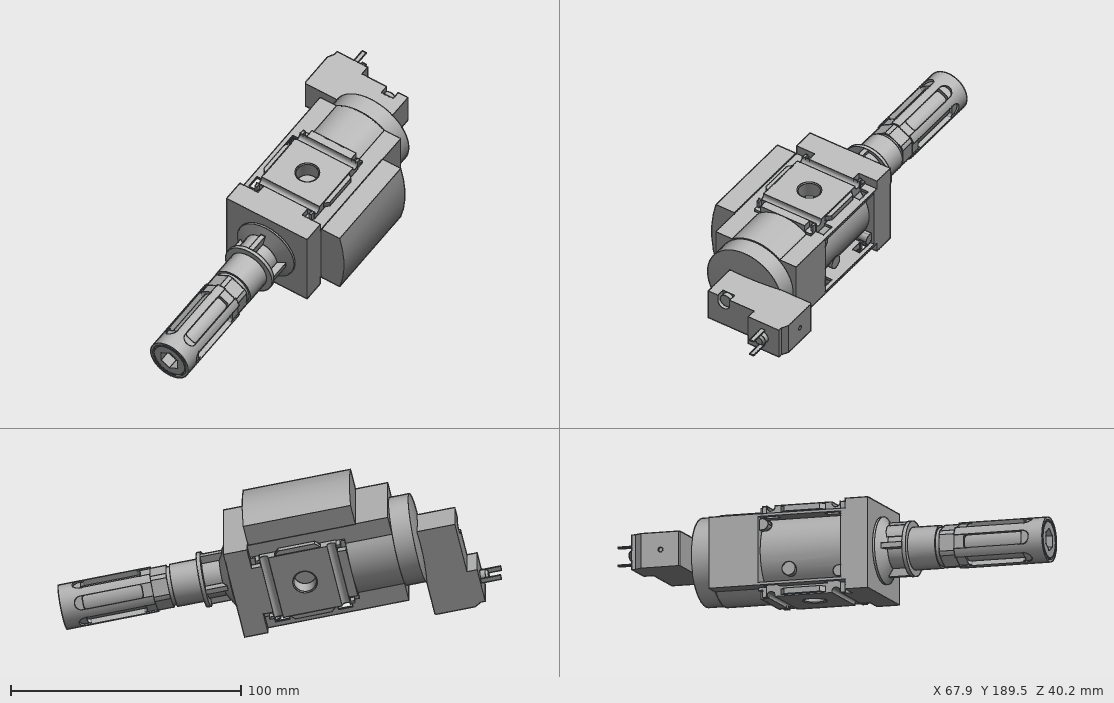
import cadquery as cq
import math


body_width = 42.0
body_height = 40.2
block_bottom = 76.2
block_top = 86.6
middle_top = 128.7
body_top = 149.4
flat_half_height = 15.7
head_radius = body_height / 2

cavity_bottom = 88.7
cavity_top = 126.6
cavity_half_height = 14.6
core_radius = 18.4
side_boss_diameter = 6.0
side_boss_end_x = 17.8
side_boss_y = 113.7
side_boss_z = -8.5
corner_boss_diameter = 5.0
corner_boss_inset = 1.5
corner_boss_end_x = 19.5
corner_boss_z = 11.4
window_outer_x = 19
window_length = 6.5
window_inset = 1.7

port_y = 107.9
plate_half_width = 15.2
plate_neck_half_width = 11.5
plate_length = 34.1
corner_floor = 16.9
corner_inset = 0.4
corner_lug_width = 1.1
corner_lug_length = 1.9
plate_groove_offset = 15.0
plate_groove_radius = 1.9
plate_groove_axis_depth = 0.4
port_diameter = 9.9
port_rim_diameter = 10.8
port_depth = 7.5
grip_reach = 2.0
grip_length = 20.5
grip_bottom = 17
grip_top = 19.5

cover_bottom = 87.2
cover_top = 135.0
cover_half_height = 16.3
cover_edge_x = 30.7
cover_crown_x = 33.0

cap_radius = 19.5
cap_top = 158.0
dome_height = 1.5

coil_left = -34.9
coil_right = 7.0
coil_step_x = -17
coil_bottom = 157.9
coil_step_y = 176.0
coil_top = 180.6
coil_height = 15.4
coil_edge_chamfer = 0.5
coil_bevel_width = 1.7
coil_bevel_bottom = 175.7
coil_bevel_top = 178.7
coil_hole_diameter = 2.0
coil_hole_depth = 1.0
coil_hole_y = 166.8
coil_screw_x = -1.1
coil_screw_z = 4.5
coil_screw_diameter = 5.9
coil_screw_length = 2.3
coil_notch_width = 6.0
coil_notch_depth = 4.0

contact_x = -24.8
pin_top = 189.5
pin_width = 2.0
pin_thickness = 0.5
pin_z = 4.0
stud_diameter = 5.5
stud_rim_y = 183.0
stud_tip_diameter = 3.8
stud_top = 184.0

skirt_radius = 14.8
skirt_rim_y = 75.3
cone_end_y = 71.5
neck_radius = 8.5
flange_radius = 12.1
flange_top = 63.7
flange_bottom = 62.0
socket_diameter = 18.8
socket_bottom = 49.5
rib_radius = 12.0
rib_width = 2.3
rib_count = 4
bulge_radius = 7.2
bulge_axis_z = 3.5
bulge_bottom_z = 4.4

silencer_radius = 9.9
hex_top = 47.8
hex_bottom = 40.8
hex_sides = 6
hex_flats = 17
hex_corner_diameter = 18.5
collar_radius = hex_flats / 2
slot_count = 6
slot_width = 6.0
slot_end_y = 6.3
slot_floor = 8.7
pocket_top = 36.4
pocket_bottom = 9.9
pocket_corner_radius = 1.3
silencer_core_radius = 7.4
socket_hex_diameter = 9.9
socket_hex_depth = 5.7
ring_outer_radius = 8.7
ring_inner_radius = 8.0
ring_depth = 1.0


def block(x_range, y_range, z_range):
    """Box between two limits along each axis."""
    size = [high - low for low, high in (x_range, y_range, z_range)]
    return cq.Workplane("XY").box(*size, centered=False).translate((x_range[0], y_range[0], z_range[0]))


def rod(radius, y_low, y_high):
    """Cylinder on the long axis."""
    return cq.Workplane("XZ", origin=(0, y_low, 0)).circle(radius).extrude(y_low - y_high)


def both_sides(shape):
    """The shape and its mirror image across the XY plane."""
    return shape.union(shape.mirror("XY"))


def around_axis(shape, count):
    """Equally spaced copies of a shape about the long axis, joined."""
    copies = shape
    for index in range(1, count):
        copies = copies.union(shape.rotate((0, 0, 0), (0, 1, 0), index * 360 / count))
    return copies


def make_port_plate():
    """Plate on +Z with cut-back corners, side grips and two grooves across it."""
    plate = block((-plate_half_width, plate_half_width),
                  (port_y - plate_length / 2, port_y + plate_length / 2),
                  (cavity_half_height, head_radius))
    corner_half_width = plate_half_width - corner_inset
    neck_y = (block_top, middle_top)
    plate = plate.union(block((-plate_neck_half_width, plate_neck_half_width), neck_y,
                              (cavity_half_height, head_radius)))
    plate = plate.union(block((-corner_half_width, corner_half_width), neck_y,
                              (cavity_half_height, corner_floor)))

    lug_half_span = plate_length / 2 + corner_lug_length
    for lug_left in (-corner_half_width, corner_half_width - corner_lug_width):
        plate = plate.union(block((lug_left, lug_left + corner_lug_width),
                                  (port_y - lug_half_span, port_y + lug_half_span),
                                  (cavity_half_height, head_radius)))

    grip_half = grip_length / 2
    grip_x = plate_half_width + grip_reach
    grips = (
        cq.Workplane("XY", origin=(0, port_y, grip_bottom))
        .moveTo(-plate_half_width, -grip_half)
        .lineTo(-grip_x, grip_reach - grip_half)
        .lineTo(-grip_x, grip_half - grip_reach)
        .lineTo(-plate_half_width, grip_half)
        .lineTo(plate_half_width, grip_half)
        .lineTo(grip_x, grip_half - grip_reach)
        .lineTo(grip_x, grip_reach - grip_half)
        .lineTo(plate_half_width, -grip_half)
        .close()
        .extrude(grip_top - grip_bottom)
    )
    plate = plate.union(grips)

    for side in (-1, 1):
        groove = (
            cq.Workplane("YZ", origin=(-plate_half_width, 0, 0))
            .center(port_y + side * plate_groove_offset, head_radius - plate_groove_axis_depth)
            .circle(plate_groove_radius)
            .extrude(2 * plate_half_width)
        )
        plate = plate.cut(groove)
    return plate


def make_port():
    """Blind port with a chamfered mouth, on +Z."""
    rim_depth = (port_rim_diameter - port_diameter) / 2
    bore = (
        cq.Workplane("XY", origin=(0, port_y, head_radius - port_depth))
        .circle(port_diameter / 2)
        .extrude(port_depth)
    )
    return bore.faces(">Z").workplane().circle(port_rim_diameter / 2).extrude(-rim_depth, taper=45)


def make_cavity():
    """Open space of the -X side: a pocket around the core and its bosses, with windows through its walls."""
    half_width = body_width / 2
    cavity = block((-half_width, 0), (cavity_bottom, cavity_top), (-cavity_half_height, cavity_half_height))
    cavity = cavity.cut(rod(core_radius, cavity_bottom, cavity_top))

    side_boss = (
        cq.Workplane("YZ", origin=(-side_boss_end_x, side_boss_y, side_boss_z))
        .circle(side_boss_diameter / 2)
        .extrude(side_boss_end_x)
    )
    cavity = cavity.cut(side_boss)

    corner_bosses = (
        (cavity_top - corner_boss_inset, cavity_top, corner_boss_z),
        (cavity_bottom + corner_boss_inset, cavity_bottom, -corner_boss_z),
    )
    for boss_y, wall_y, boss_z in corner_bosses:
        radius = corner_boss_diameter / 2
        boss = (
            cq.Workplane("YZ", origin=(-corner_boss_end_x, boss_y, boss_z))
            .circle(radius)
            .extrude(corner_boss_end_x)
        )
        root_z = boss_z - math.copysign(radius, boss_z)
        root = block((-corner_boss_end_x, 0), sorted((boss_y, wall_y)), sorted((boss_z, root_z)))
        cavity = cavity.cut(boss).cut(root)

    for window_y in (cavity_bottom + window_inset, cavity_top - window_inset - window_length):
        window = block((-window_outer_x, -plate_half_width), (window_y, window_y + window_length),
                       (corner_boss_z, flat_half_height))
        window = window.cut(rod(core_radius, cavity_bottom, cavity_top))
        cavity = cavity.union(both_sides(window))
    return cavity


def make_cover():
    """Cover on +X with a crowned outer face."""
    return (
        cq.Workplane("XZ", origin=(0, cover_bottom, 0))
        .moveTo(body_width / 2, -cover_half_height)
        .lineTo(cover_edge_x, -cover_half_height)
        .threePointArc((cover_crown_x, 0), (cover_edge_x, cover_half_height))
        .lineTo(body_width / 2, cover_half_height)
        .close()
        .extrude(cover_bottom - cover_top)
    )


def make_cap():
    """Round cap with a domed end."""
    dome_radius = (cap_radius ** 2 + dome_height ** 2) / (2 * dome_height)
    half_angle = math.asin(cap_radius / dome_radius) / 2
    dome_centre_y = cap_top + dome_height - dome_radius
    dome_middle = (dome_radius * math.sin(half_angle), dome_centre_y + dome_radius * math.cos(half_angle))
    return (
        cq.Workplane("XY")
        .moveTo(0, body_top)
        .lineTo(cap_radius, body_top)
        .lineTo(cap_radius, cap_top)
        .threePointArc(dome_middle, (0, cap_top + dome_height))
        .close()
        .revolve(360, (0, 0, 0), (0, 1, 0))
    )


def make_coil():
    """Stepped pilot coil with its screw, contact pins and stud."""
    half_height = coil_height / 2
    bevel_x = coil_left + coil_bevel_width
    outline = [
        (coil_left + coil_edge_chamfer, coil_bottom),
        (coil_left, coil_bottom + coil_edge_chamfer),
        (coil_left, coil_bevel_bottom),
        (bevel_x, coil_bevel_top),
        (bevel_x, coil_top),
        (coil_step_x, coil_top),
        (coil_step_x, coil_step_y),
        (coil_right, coil_step_y),
        (coil_right, coil_bottom),
    ]
    coil = cq.Workplane("XY", origin=(0, 0, -half_height)).polyline(outline).close().extrude(coil_height)

    hole = (
        cq.Workplane("YZ", origin=(coil_left, coil_hole_y, 0))
        .circle(coil_hole_diameter / 2)
        .extrude(coil_hole_depth)
    )
    coil = coil.cut(hole)

    notch_bottom = coil_step_y - coil_notch_depth
    notch_half = coil_notch_width / 2
    notch = block((coil_screw_x - notch_half, coil_screw_x + notch_half),
                  (notch_bottom, coil_step_y), (coil_screw_z, half_height))
    notch = notch.union(rod(notch_half, notch_bottom, coil_step_y).translate((coil_screw_x, 0, coil_screw_z)))
    screw = rod(coil_screw_diameter / 2, notch_bottom, notch_bottom + coil_screw_length)
    coil = coil.cut(notch).union(screw.translate((coil_screw_x, 0, coil_screw_z)))

    stud = (
        cq.Workplane("XY")
        .polyline([(0, coil_top), (stud_diameter / 2, coil_top), (stud_diameter / 2, stud_rim_y),
                   (stud_tip_diameter / 2, stud_top), (0, stud_top)])
        .close()
        .revolve(360, (0, 0, 0), (0, 1, 0))
    )
    coil = coil.union(stud.translate((contact_x, 0, 0)))
    pin = block((contact_x - pin_width / 2, contact_x + pin_width / 2), (coil_top, pin_top),
                (pin_z - pin_thickness / 2, pin_z + pin_thickness / 2))
    return coil.union(both_sides(pin))


def make_outlet():
    """Outlet socket: conical skirt, ribbed neck with one bulge between ribs, flange and plain sleeve."""
    profile = [
        (0, block_bottom),
        (skirt_radius, block_bottom),
        (skirt_radius, skirt_rim_y),
        (neck_radius, cone_end_y),
        (neck_radius, flange_top),
        (flange_radius, flange_top),
        (flange_radius, flange_bottom),
        (socket_diameter / 2, flange_bottom),
        (socket_diameter / 2, socket_bottom),
        (0, socket_bottom),
    ]
    outlet = cq.Workplane("XY").polyline(profile).close().revolve(360, (0, 0, 0), (0, 1, 0))
    rib_top = (skirt_rim_y + cone_end_y) / 2
    rib = block((0, rib_radius), (flange_bottom, rib_top), (-rib_width / 2, rib_width / 2))
    outlet = outlet.union(around_axis(rib, rib_count))

    bulge_x = -rib_width / 2
    bulge_y = (flange_bottom, rib_top)
    bulge = rod(bulge_radius, *bulge_y).translate((bulge_x, 0, bulge_axis_z))
    bulge_limits = block((bulge_x - bulge_radius, bulge_x), bulge_y,
                         (bulge_bottom_z, bulge_axis_z + bulge_radius))
    return outlet.union(bulge.intersect(bulge_limits))


def make_valve():
    """Whole valve body."""
    half_width = body_width / 2
    body_x = (-half_width, half_width)
    valve = block(body_x, (block_bottom, body_top), (-flat_half_height, flat_half_height))
    valve = valve.union(block(body_x, (block_bottom, block_top), (-head_radius, head_radius)))
    valve = valve.union(rod(head_radius, middle_top, body_top))
    valve = valve.cut(make_cavity())
    plate = make_port_plate()
    valve = valve.union(plate).union(plate.mirror("XY"))
    valve = valve.cut(make_port()).cut(make_port().mirror("XY"))
    return valve.union(make_cover()).union(make_cap()).union(make_coil()).union(make_outlet())


def make_silencer():
    """Slotted silencer with a hexagon collar and a hexagon socket in its tip."""
    hex_prism = (
        cq.Workplane("XZ", origin=(0, hex_bottom, 0))
        .polygon(hex_sides, hex_flats, circumscribed=True)
        .extrude(hex_bottom - hex_top)
    )
    hex_collar = hex_prism.intersect(rod(hex_corner_diameter / 2, hex_bottom, hex_top))
    silencer = rod(silencer_radius, 0, hex_bottom).union(hex_collar)
    silencer = silencer.union(rod(collar_radius, hex_top, socket_bottom))

    slot_half = slot_width / 2
    slot = (
        cq.Workplane("YZ", origin=(slot_floor, 0, 0))
        .moveTo(hex_bottom, -slot_half)
        .lineTo(slot_end_y + slot_half, -slot_half)
        .threePointArc((slot_end_y, 0), (slot_end_y + slot_half, slot_half))
        .lineTo(hex_bottom, slot_half)
        .close()
        .extrude(silencer_radius - slot_floor)
    )
    pocket = block((0, silencer_radius), (pocket_bottom, pocket_top), (-slot_half, slot_half))
    pocket = pocket.edges("|X").fillet(pocket_corner_radius)
    pocket = pocket.cut(rod(silencer_core_radius, pocket_bottom, pocket_top))
    silencer = silencer.cut(around_axis(slot, slot_count)).cut(around_axis(pocket, slot_count))

    ring = rod(ring_outer_radius, 0, ring_depth).cut(rod(ring_inner_radius, 0, ring_depth))
    hex_socket = (
        cq.Workplane("XZ")
        .polygon(hex_sides, socket_hex_diameter)
        .extrude(-socket_hex_depth)
        .rotate((0, 0, 0), (0, 1, 0), 180 / hex_sides)
    )
    return silencer.cut(ring).cut(hex_socket)


valve = make_valve()
silencer = make_silencer()

result = cq.Compound.makeCompound([valve.val(), silencer.val()])